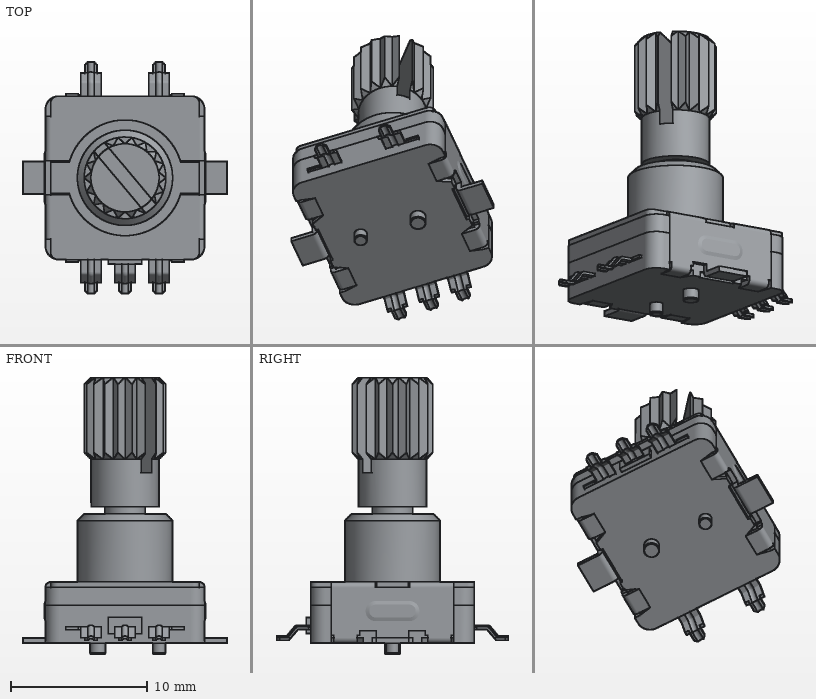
import cadquery as cq
import math

case_width = 11.7
case_depth = 12.0
case_height = 4.5
case_corner_radius = 1.0
case_split_z = 2.77
sheet = 0.4

case_half_x = case_width / 2
case_half_y = case_depth / 2
inner_half_x = case_half_x - sheet
cover_bottom_z = case_height - sheet

cover_corner_radius = 0.5
flange_half_length = 4.5
cover_window_radius = 4.25
cover_slot_half = 1.25
lug_half_width = 1.2
lug_reach_x = 7.5
notch_outer_y = 2.4
notch_height = 0.92
fold_start_y = 2.6
fold_end_y = 4.3
fold_relief_height = 0.6
fold_inner_x = 4.45
bump_length = 3.95
bump_width = 1.48
bump_center_z = 2.36
bump_height = 0.08
bump_slope_width = 0.27

arm_half_width = 1.15
bushing_diameter = 7.0
bushing_top_z = 9.5
bushing_chamfer = 0.5

neck_diameter = 3.0
shaft_diameter = 5.0
shaft_start_z = 10.0
shaft_top_z = 19.5
knurl_diameter = 6.0
knurl_length = 6.0
knurl_teeth = 18
slot_width = 1.0
slot_depth = 7.0
slot_angle = -50.0

pin_length = 0.8
pins = ((-2.0, 1.15), (2.5, 0.95))
pin_chamfer_height = 0.1
pin_chamfer_width = 0.05
front_block_half_width = 1.23
front_block_reach = 0.33
front_block_bottom_z = 0.7
front_block_top_z = 1.9
pocket_wide_y = 2.14
lug_pocket_half_width = 1.5
lug_pocket_depth = 0.2

terminal_pitch = 2.5
terminal_width = 1.52
terminal_thickness = 0.2
terminal_bottom_z = 1.0
terminal_drop = 0.8
terminal_embed = 1.0
terminal_bend_y = 6.92
terminal_bend_angle = 50.0
terminal_bend_radius = 0.15
terminal_tip_y = 8.5
terminal_foot_width = 0.9
terminal_rib_width = 0.47
terminal_rib_height = 0.13
terminal_root_y = case_half_y - terminal_embed
terminal_upper_z = terminal_bottom_z + terminal_thickness / 2
wing_outer_x = 1.84
wing_reach = 0.18
wing_notch_width = 0.17
wing_notch_depth = 0.08


def box(x_range, y_range, z_range):
    """Axis-aligned block from its limits on each axis."""
    sizes = [high - low for low, high in (x_range, y_range, z_range)]
    corner = (x_range[0], y_range[0], z_range[0])
    return cq.Workplane("XY").box(*sizes, centered=False).translate(corner)


def both_sides(shape):
    """The shape together with its mirror image in Y."""
    return shape.union(shape.mirror("XZ"))


def rotated_copy(shape):
    """The same shape turned half a turn about the shaft axis."""
    return shape.rotate((0, 0, 0), (0, 0, 1), 180)


def case_block(bottom_z, top_z):
    """Slice of the case, cut back on both sides where the cover flanges lie."""
    block = (
        cq.Workplane("XY", origin=(0, 0, bottom_z))
        .rect(case_width, case_depth)
        .extrude(top_z - bottom_z)
        .edges("|Z")
        .fillet(case_corner_radius)
    )
    flange_seat = box(
        (inner_half_x, case_half_x),
        (-flange_half_length, flange_half_length),
        (bottom_z, top_z),
    )
    return block.cut(flange_seat).cut(rotated_copy(flange_seat))


def make_housing():
    disc = cq.Workplane("XY", origin=(0, 0, cover_bottom_z)).circle(cover_window_radius).extrude(sheet)
    arms = box(
        (-inner_half_x, inner_half_x),
        (-arm_half_width, arm_half_width),
        (cover_bottom_z, case_height),
    )
    bushing = (
        cq.Workplane("XY", origin=(0, 0, case_height))
        .circle(bushing_diameter / 2)
        .extrude(bushing_top_z - case_height)
        .faces(">Z")
        .chamfer(bushing_chamfer)
    )
    bore = (
        cq.Workplane("XY", origin=(0, 0, case_split_z))
        .circle(neck_diameter / 2)
        .extrude(bushing_top_z - case_split_z)
    )
    housing = case_block(case_split_z, cover_bottom_z)
    return housing.union(disc).union(arms).union(bushing).cut(bore)


def make_knurl():
    """Pointed teeth from the shaft diameter out to the knurl diameter, bevelled at both ends."""
    root_radius = shaft_diameter / 2
    tip_radius = knurl_diameter / 2
    bevel = tip_radius - root_radius
    half_step = math.pi / knurl_teeth
    outline = []
    for step in range(2 * knurl_teeth):
        radius = root_radius if step % 2 else tip_radius
        outline.append((radius * math.cos(step * half_step), radius * math.sin(step * half_step)))
    bottom_z = shaft_top_z - knurl_length
    teeth = cq.Workplane("XY", origin=(0, 0, bottom_z)).polyline(outline).close().extrude(knurl_length)
    envelope = (
        cq.Workplane("XY", origin=(0, 0, bottom_z))
        .circle(tip_radius)
        .extrude(knurl_length)
        .faces("<Z or >Z")
        .chamfer(bevel)
    )
    return teeth.intersect(envelope)


def make_shaft():
    neck = (
        cq.Workplane("XY", origin=(0, 0, case_split_z))
        .circle(neck_diameter / 2)
        .extrude(shaft_start_z - case_split_z)
    )
    barrel = (
        cq.Workplane("XY", origin=(0, 0, shaft_start_z))
        .circle(shaft_diameter / 2)
        .extrude(shaft_top_z - knurl_length - shaft_start_z)
    )
    slot = box(
        (-knurl_diameter, knurl_diameter),
        (-slot_width / 2, slot_width / 2),
        (shaft_top_z - slot_depth, shaft_top_z),
    ).rotate((0, 0, 0), (0, 0, 1), slot_angle)
    return neck.union(barrel).union(make_knurl()).cut(slot)


def make_flange_wall():
    """Flange sheet with its outer edges rounded over at the top and at the bottom."""
    middle_x = inner_half_x + sheet * math.sin(math.pi / 4)
    middle_rise = sheet * (1 - math.cos(math.pi / 4))
    return (
        cq.Workplane("XZ", origin=(0, flange_half_length, 0))
        .moveTo(inner_half_x, 0)
        .threePointArc((middle_x, middle_rise), (case_half_x, sheet))
        .lineTo(case_half_x, cover_bottom_z)
        .threePointArc((middle_x, case_height - middle_rise), (inner_half_x, case_height))
        .close()
        .extrude(2 * flange_half_length)
    )


def make_lug():
    """Soldering lug bent outward, with its outer bend rounded."""
    middle_x = case_half_x - sheet * math.cos(math.pi / 4)
    middle_z = sheet * (1 - math.sin(math.pi / 4))
    return (
        cq.Workplane("XZ", origin=(0, lug_half_width, 0))
        .moveTo(inner_half_x, sheet)
        .threePointArc((middle_x, middle_z), (case_half_x, 0))
        .lineTo(lug_reach_x, 0)
        .lineTo(lug_reach_x, sheet)
        .close()
        .extrude(2 * lug_half_width)
    )


def make_bump():
    """Shallow raised oblong with sloped sides on the outer face of the flange."""
    slope = math.degrees(math.atan2(bump_slope_width, bump_height))
    return (
        cq.Workplane("YZ", origin=(case_half_x, 0, bump_center_z))
        .slot2D(bump_length, bump_width)
        .extrude(bump_height, taper=slope)
    )


def make_flange():
    """The +X flange: rounded into the top plate, folded under the base and bearing the lug."""
    wall_x = (inner_half_x, case_half_x)
    openings = (
        box(wall_x, (lug_half_width, notch_outer_y), (0, notch_height)),
        box(wall_x, (notch_outer_y, fold_start_y), (0, fold_relief_height)),
        box(wall_x, (fold_end_y, flange_half_length), (0, fold_relief_height)),
    )
    flange = make_flange_wall()
    for opening in openings:
        flange = flange.cut(both_sides(opening))
    lug_space = box(wall_x, (-lug_half_width, lug_half_width), (0, sheet))
    fold = box((fold_inner_x, inner_half_x), (fold_start_y, fold_end_y), (0, sheet))
    return flange.cut(lug_space).union(make_lug()).union(both_sides(fold)).union(make_bump())


def make_cover():
    plate = (
        cq.Workplane("XY", origin=(0, 0, cover_bottom_z))
        .rect(2 * inner_half_x, case_depth)
        .extrude(sheet)
        .edges("|Z")
        .fillet(cover_corner_radius)
    )
    flange = make_flange()
    window = cq.Workplane("XY", origin=(0, 0, cover_bottom_z)).circle(cover_window_radius).extrude(sheet)
    arm_slot = box(
        (-case_half_x, case_half_x),
        (-cover_slot_half, cover_slot_half),
        (cover_bottom_z, case_height),
    )
    return plate.union(flange).union(rotated_copy(flange)).cut(window).cut(arm_slot)


def strip_section(width, y, z):
    """Cross-section of a strip whose middle is pressed up into a rounded rib."""
    half_width = width / 2
    half_rib = terminal_rib_width / 2
    half_thickness = terminal_thickness / 2
    return (
        cq.Workplane("XZ", origin=(0, y, z))
        .moveTo(-half_width, -half_thickness)
        .lineTo(-half_rib, -half_thickness)
        .threePointArc((0, terminal_rib_height - half_thickness), (half_rib, -half_thickness))
        .lineTo(half_width, -half_thickness)
        .lineTo(half_width, half_thickness)
        .lineTo(half_rib, half_thickness)
        .threePointArc((0, terminal_rib_height + half_thickness), (-half_rib, half_thickness))
        .lineTo(-half_width, half_thickness)
        .close()
    )


def make_terminal():
    """Terminal on the +Y side at X = 0: rounded upper bend, slope, mitred lower bend, narrow foot."""
    angle = math.radians(terminal_bend_angle)
    radius = terminal_bend_radius
    lower_z = terminal_upper_z - terminal_drop
    slope_start = (
        terminal_bend_y + radius * math.sin(angle),
        terminal_upper_z - radius * (1 - math.cos(angle)),
    )
    slope_middle = (
        terminal_bend_y + radius * math.sin(angle / 2),
        terminal_upper_z - radius * (1 - math.cos(angle / 2)),
    )
    foot_start_y = slope_start[0] + (slope_start[1] - lower_z) / math.tan(angle)

    def bent_strip(width):
        """Root, upper bend and slope, run on a little past the lower bend."""
        overrun = terminal_thickness
        path = (
            cq.Workplane("YZ")
            .moveTo(terminal_root_y, terminal_upper_z)
            .lineTo(terminal_bend_y, terminal_upper_z)
            .threePointArc(slope_middle, slope_start)
            .lineTo(foot_start_y + overrun * math.cos(angle), lower_z - overrun * math.sin(angle))
        )
        return strip_section(width, terminal_root_y, terminal_upper_z).sweep(path)

    below_foot_top = box(
        (-terminal_width, terminal_width),
        (terminal_bend_y, terminal_tip_y),
        (lower_z - terminal_drop, lower_z + terminal_thickness / 2),
    )
    wide_part = bent_strip(terminal_width).cut(below_foot_top)

    foot_length = terminal_tip_y - foot_start_y
    beyond_bend = box(
        (-terminal_width, terminal_width),
        (foot_start_y, foot_start_y + foot_length),
        (lower_z - foot_length, lower_z + foot_length),
    ).rotate((0, foot_start_y, lower_z), (1, foot_start_y, lower_z), -terminal_bend_angle / 2)
    before_bend = beyond_bend.translate(
        (0, -foot_length * math.cos(angle / 2), foot_length * math.sin(angle / 2))
    )
    half_foot = terminal_foot_width / 2
    half_rib = terminal_rib_width / 2
    tip_corner = (
        cq.Workplane("XY")
        .moveTo(half_foot, terminal_tip_y)
        .lineTo(half_rib, terminal_tip_y)
        .lineTo(half_foot, terminal_tip_y - (half_foot - half_rib))
        .close()
        .extrude(terminal_upper_z)
    )
    narrow_slope = bent_strip(terminal_foot_width).cut(beyond_bend)
    foot = (
        strip_section(terminal_foot_width, terminal_tip_y, lower_z)
        .extrude(foot_length + terminal_thickness)
        .cut(before_bend)
        .cut(tip_corner)
        .cut(tip_corner.mirror("YZ"))
    )
    return wide_part.union(narrow_slope).union(foot)


def make_winged_terminal():
    """Terminal with a flat wing on its +X side along the base wall."""
    z_range = (terminal_bottom_z, terminal_bottom_z + terminal_thickness)
    half_width = terminal_width / 2
    wing_y = case_half_y + wing_reach
    wing = box((half_width, wing_outer_x), (terminal_root_y, wing_y), z_range)
    notch = box((half_width, half_width + wing_notch_width), (wing_y - wing_notch_depth, wing_y), z_range)
    return make_terminal().union(wing.cut(notch))


def make_terminals():
    winged = make_winged_terminal().translate((terminal_pitch, 0, 0))
    back_pair = [winged, winged.mirror("YZ")]
    front_pair = [terminal.mirror("XZ") for terminal in back_pair]
    return back_pair + front_pair + [make_terminal().mirror("XZ")]


def make_base(terminals):
    base = case_block(0, case_split_z)
    front_block = box(
        (-front_block_half_width, front_block_half_width),
        (-case_half_y - front_block_reach, -case_half_y),
        (front_block_bottom_z, front_block_top_z),
    )
    base = base.union(front_block)
    for pin_x, pin_diameter in pins:
        pin = (
            cq.Workplane("XY", origin=(pin_x, 0, 0))
            .circle(pin_diameter / 2)
            .extrude(-pin_length)
            .faces("<Z")
            .chamfer(pin_chamfer_height, pin_chamfer_width)
        )
        base = base.union(pin)
    fold_pocket = (
        cq.Workplane("XY")
        .moveTo(inner_half_x, pocket_wide_y)
        .lineTo(inner_half_x, flange_half_length)
        .lineTo(fold_inner_x, fold_end_y)
        .lineTo(fold_inner_x, fold_start_y)
        .close()
        .extrude(sheet)
    )
    lug_pocket = box(
        (inner_half_x - lug_pocket_depth, inner_half_x),
        (-lug_pocket_half_width, lug_pocket_half_width),
        (0, sheet),
    )
    for pocket in (both_sides(fold_pocket), lug_pocket):
        base = base.cut(pocket).cut(rotated_copy(pocket))
    for terminal in terminals:
        base = base.cut(terminal)
    return base


terminals = make_terminals()
base = make_base(terminals)
housing = make_housing()
cover = make_cover()
shaft = make_shaft()

result = cq.Compound.makeCompound(
    [base.val(), housing.val(), cover.val(), shaft.val()] + [terminal.val() for terminal in terminals]
)